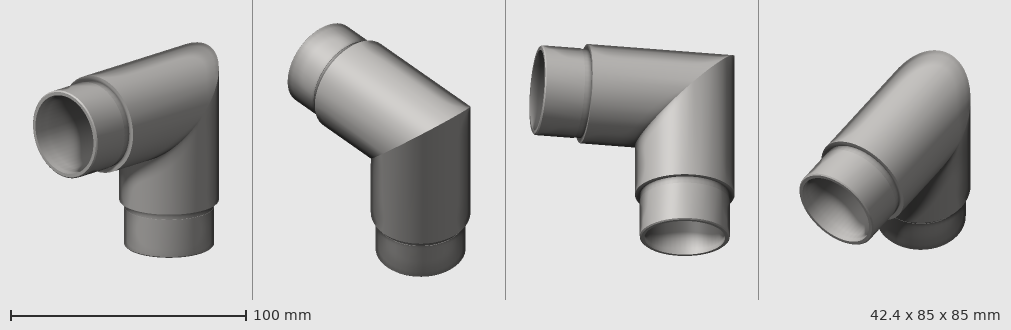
import cadquery as cq

overall_size = 85.0
tube_diameter = 42.4
bore_diameter = 34.4
spigot_diameter = 38.3
groove_diameter = 37.9
spigot_length = 20.1
groove_width = 3.0
end_chamfer = 0.5

tube_radius = tube_diameter / 2
leg_length = overall_size - tube_radius
shoulder = leg_length - spigot_length


def down_cylinder(diameter, start, end):
    """Cylinder on the Z axis between two depths below the origin."""
    return cq.Workplane("XY").workplane(offset=-end).circle(diameter / 2).extrude(end - start)


def below_mitre(diameter, end):
    """Vertical cylinder reaching up to the 45 degree mitre plane z = y."""
    radius = diameter / 2
    cylinder = down_cylinder(diameter, -radius, end)
    keep_wedge = (
        cq.Workplane("YZ")
        .polyline([(-radius, -radius), (radius, radius), (radius, -end), (-radius, -end)])
        .close()
        .extrude(radius, both=True)
    )
    return cylinder.intersect(keep_wedge)


def spigot():
    """Reduced end: a shallow groove at the shoulder, then the chamfered plug."""
    groove = down_cylinder(groove_diameter, shoulder, shoulder + groove_width)
    plug = down_cylinder(spigot_diameter, shoulder + groove_width, leg_length)
    return groove.union(plug.faces("<Z").edges().chamfer(end_chamfer))


def other_leg(leg):
    """Mirror image of a vertical leg across the mitre plane, pointing toward -Y."""
    return leg.rotate((0, 0, 0), (1, 0, 0), -90).mirror("XY")


vertical_leg = below_mitre(tube_diameter, shoulder).union(spigot())
vertical_bore = below_mitre(bore_diameter, leg_length)

outer = vertical_leg.union(other_leg(vertical_leg))
bore = vertical_bore.union(other_leg(vertical_bore))
result = outer.cut(bore)